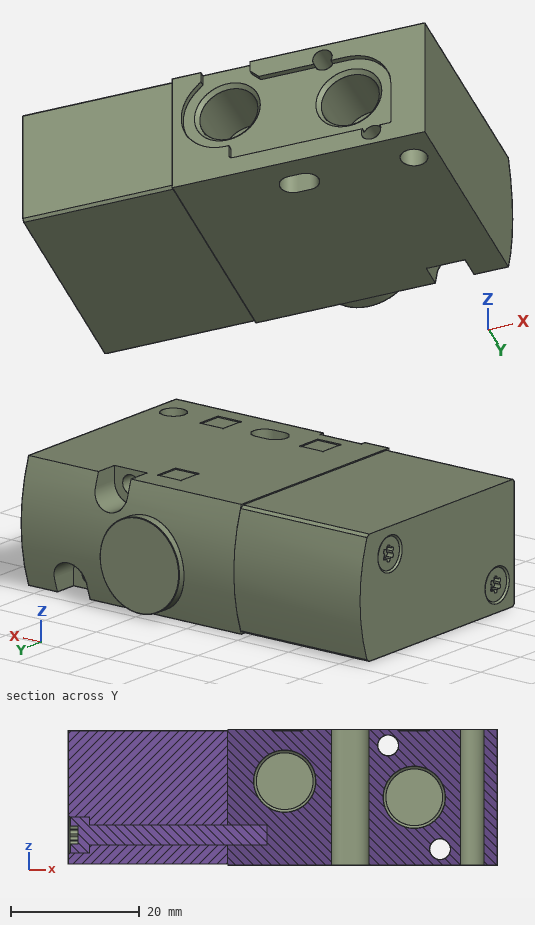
import cadquery as cq
import math

TOTAL_LENGTH = 66.6
HEIGHT = 21.1
COVER_LENGTH = 24.8
SIDE_WIDTH = 37.35
BACK_CREST = 39.25
BOSS_CREST = 40.4
MID_Z = HEIGHT / 2

COVER_INSET = 0.2
COVER_CHAMFER = 0.45

PORT_DIAMETER = 9.6
PORT_MOUTH_DIAMETER = 10.9
PORT_FLOOR_DIAMETER = 8.8
PORT_DEPTH = 12.0
EXHAUST_PORT = (33.6, 13.05)
SUPPLY_PORT = (53.7, MID_Z)

POCKET_DEPTH = 0.9
POCKET_RADIUS = 7.3
POCKET_FLOOR_Z = 3.25
POCKET_STEP_X = 34.2
POCKET_STEP_FILLET = 0.6
POCKET_CORNER_FILLET = 0.3
NOTCH_HALF_WIDTH = 4.05

CROSS_HOLE_DIAMETER = 3.2
HEAD_SLOT_DIAMETER = 6.4
HEAD_SEAT_Y = 33.3
UPPER_CROSS_HOLE = (49.65, 18.6)
LOWER_CROSS_HOLE = (57.7, HEIGHT - UPPER_CROSS_HOLE[1])

VERTICAL_HOLE_DIAMETER = 4.3
VERTICAL_HOLE_Y = 5.7
ROUND_HOLE_X = 62.7
OBLONG_HOLE_X = 43.75
OBLONG_HOLE_LENGTH = 6.4

LABEL_SIZE = 4.6
LABEL_DEPTH = 0.2
LABEL_CENTRES = [(34.1, 5.4), (53.7, 5.4), (42.2, 30.9)]

BOSS_DIAMETER = 15.6
BOSS_CHAMFER = 0.1
BOSS_CENTRE = (42.45, 8.5)

SCREW_CENTRES = [(31.65, 16.4), (4.55, HEIGHT - 16.4)]
SCREW_HEAD_DIAMETER = 5.5
SCREW_HEAD_HEIGHT = 3.0
SCREW_SHANK_DIAMETER = 3.0
SCREW_GRIP = 6.0
SCREW_RECESS_CHAMFER = 0.3
RECESS_TAPER = 45
SOCKET_DEPTH = 1.2
SOCKET_ROOT_DIAMETER = 2.0
SOCKET_TIP_DIAMETER = 2.75
SOCKET_LOBE_DIAMETER = 0.7
SOCKET_LOBES = 6


def bowed_block(x_start, length, inset):
    """Block along X with a bowed back; the inset moves in the front, top and bottom."""
    low = inset
    high = HEIGHT - inset
    return (
        cq.Workplane("YZ", origin=(x_start, 0, 0))
        .moveTo(inset, low)
        .lineTo(SIDE_WIDTH, low)
        .threePointArc((BACK_CREST, MID_Z), (SIDE_WIDTH, high))
        .lineTo(inset, high)
        .close()
        .extrude(length)
    )


def front_plane(y):
    """Workplane across Y, spanned by X and Z; negative extrusions run towards +Y."""
    return cq.Workplane("XZ", origin=(0, y, 0))


def cylinder_along_y(centre, diameter, y_start, y_end):
    return front_plane(y_start).center(*centre).circle(diameter / 2).extrude(y_start - y_end)


def cylinder_along_x(centre, diameter, x_start, x_end):
    return (
        cq.Workplane("YZ", origin=(x_start, 0, 0))
        .center(*centre)
        .circle(diameter / 2)
        .extrude(x_end - x_start)
    )


def port_cut(centre):
    """Blind port with a chamfered mouth and a chamfered floor, starting at the pocket floor."""
    mouth_radius = PORT_MOUTH_DIAMETER / 2
    bore_radius = PORT_DIAMETER / 2
    floor_radius = PORT_FLOOR_DIAMETER / 2
    bore_start = POCKET_DEPTH + mouth_radius - bore_radius
    bore_end = PORT_DEPTH - (bore_radius - floor_radius)
    profile = (
        cq.Workplane("XY")
        .moveTo(0, POCKET_DEPTH)
        .lineTo(mouth_radius, POCKET_DEPTH)
        .lineTo(bore_radius, bore_start)
        .lineTo(bore_radius, bore_end)
        .lineTo(floor_radius, PORT_DEPTH)
        .lineTo(0, PORT_DEPTH)
        .close()
    )
    port = profile.revolve(360, (0, 0, 0), (0, 1, 0))
    return port.translate((centre[0], 0, centre[1]))


def pocket_cut():
    """Shallow pocket round both ports, opening through a notch in the top face."""
    port_x, port_z = EXHAUST_PORT
    supply_x, supply_z = SUPPLY_PORT
    diagonal = POCKET_RADIUS * math.sqrt(0.5)
    notch_left = port_x - NOTCH_HALF_WIDTH
    notch_right = port_x + NOTCH_HALF_WIDTH
    flank_top = port_z + 2 * diagonal - NOTCH_HALF_WIDTH
    upper_edge = supply_z + POCKET_RADIUS
    flank_foot_x = notch_right + flank_top - upper_edge
    right_edge = supply_x + POCKET_RADIUS
    arc_bottom = port_z - POCKET_RADIUS
    pocket = (
        front_plane(0)
        .moveTo(notch_left, HEIGHT)
        .lineTo(notch_left, flank_top)
        .lineTo(port_x - diagonal, port_z + diagonal)
        .threePointArc((port_x - diagonal, port_z - diagonal), (port_x, arc_bottom))
        .lineTo(POCKET_STEP_X, arc_bottom)
        .lineTo(POCKET_STEP_X, POCKET_FLOOR_Z)
        .lineTo(right_edge, POCKET_FLOOR_Z)
        .lineTo(right_edge, supply_z)
        .threePointArc((supply_x + diagonal, supply_z + diagonal), (supply_x, upper_edge))
        .lineTo(flank_foot_x, upper_edge)
        .lineTo(notch_right, flank_top)
        .lineTo(notch_right, HEIGHT)
        .close()
        .extrude(-POCKET_DEPTH)
    )
    mid_depth = POCKET_DEPTH / 2
    step_foot = (POCKET_STEP_X, mid_depth, POCKET_FLOOR_Z)
    corner = (right_edge, mid_depth, POCKET_FLOOR_Z)
    pocket = pocket.edges(cq.selectors.NearestToPointSelector(step_foot)).fillet(POCKET_STEP_FILLET)
    return pocket.edges(cq.selectors.NearestToPointSelector(corner)).fillet(POCKET_CORNER_FILLET)


def cross_hole_cut(centre, open_side_z):
    """Through hole along Y, with a round-ended head slot that opens through the top or bottom."""
    hole = cylinder_along_y(centre, CROSS_HOLE_DIAMETER, 0, BOSS_CREST)
    seat = cylinder_along_y(centre, HEAD_SLOT_DIAMETER, HEAD_SEAT_Y, BOSS_CREST)
    hole_x, hole_z = centre
    opening = (
        front_plane(HEAD_SEAT_Y)
        .center(hole_x, (hole_z + open_side_z) / 2)
        .rect(HEAD_SLOT_DIAMETER, abs(open_side_z - hole_z))
        .extrude(HEAD_SEAT_Y - BOSS_CREST)
    )
    return hole.union(seat).union(opening)


def vertical_holes_cut():
    plane = cq.Workplane("XY")
    round_hole = (
        plane.center(ROUND_HOLE_X, VERTICAL_HOLE_Y).circle(VERTICAL_HOLE_DIAMETER / 2).extrude(HEIGHT)
    )
    oblong_hole = (
        plane.center(OBLONG_HOLE_X, VERTICAL_HOLE_Y)
        .slot2D(OBLONG_HOLE_LENGTH, VERTICAL_HOLE_DIAMETER)
        .extrude(HEIGHT)
    )
    return round_hole.union(oblong_hole)


def label_recesses_cut():
    return (
        cq.Workplane("XY", origin=(0, 0, HEIGHT))
        .pushPoints(LABEL_CENTRES)
        .rect(LABEL_SIZE, LABEL_SIZE)
        .extrude(-LABEL_DEPTH)
    )


def screw_blank(centre):
    """Cylindrical head and shank, also the shape of the hole that the screw fills."""
    head_end = SCREW_RECESS_CHAMFER + SCREW_HEAD_HEIGHT
    head = cylinder_along_x(centre, SCREW_HEAD_DIAMETER, SCREW_RECESS_CHAMFER, head_end)
    shank = cylinder_along_x(centre, SCREW_SHANK_DIAMETER, head_end, COVER_LENGTH + SCREW_GRIP)
    return head.union(shank)


def socket_cut(centre):
    """Drive socket with six rounded lobes, one of them pointing straight up."""
    socket_end = SCREW_RECESS_CHAMFER + SOCKET_DEPTH
    socket = cylinder_along_x(centre, SOCKET_ROOT_DIAMETER, SCREW_RECESS_CHAMFER, socket_end)
    lobe_offset = (SOCKET_TIP_DIAMETER - SOCKET_LOBE_DIAMETER) / 2
    for index in range(SOCKET_LOBES):
        angle = math.pi / 2 + 2 * math.pi * index / SOCKET_LOBES
        lobe_y = centre[0] + lobe_offset * math.cos(angle)
        lobe_z = centre[1] + lobe_offset * math.sin(angle)
        lobe = cylinder_along_x((lobe_y, lobe_z), SOCKET_LOBE_DIAMETER, SCREW_RECESS_CHAMFER, socket_end)
        socket = socket.union(lobe)
    return socket


def make_screw(centre):
    return screw_blank(centre).cut(socket_cut(centre))


def recess_mouth_cut(centre):
    """Chamfered mouth of a screw recess in the end face of the cover."""
    return (
        cq.Workplane("YZ")
        .center(*centre)
        .circle(SCREW_HEAD_DIAMETER / 2 + SCREW_RECESS_CHAMFER)
        .extrude(SCREW_RECESS_CHAMFER, taper=RECESS_TAPER)
    )


def make_cover():
    cover = bowed_block(0, COVER_LENGTH, COVER_INSET).edges("|X").chamfer(COVER_CHAMFER)
    for centre in SCREW_CENTRES:
        cover = cover.cut(recess_mouth_cut(centre)).cut(screw_blank(centre))
    return cover


def make_valve_body():
    body = bowed_block(COVER_LENGTH, TOTAL_LENGTH - COVER_LENGTH, 0)
    boss = cylinder_along_y(BOSS_CENTRE, BOSS_DIAMETER, HEAD_SEAT_Y, BOSS_CREST)
    body = body.union(boss.faces(">Y").chamfer(BOSS_CHAMFER))
    body = body.cut(pocket_cut())
    for centre in (EXHAUST_PORT, SUPPLY_PORT):
        body = body.cut(port_cut(centre))
    body = body.cut(cross_hole_cut(UPPER_CROSS_HOLE, HEIGHT))
    body = body.cut(cross_hole_cut(LOWER_CROSS_HOLE, 0))
    body = body.cut(vertical_holes_cut())
    body = body.cut(label_recesses_cut())
    for centre in SCREW_CENTRES:
        body = body.cut(screw_blank(centre))
    return body


cover = make_cover()
valve_body = make_valve_body()
screws = [make_screw(centre) for centre in SCREW_CENTRES]

result = cq.Compound.makeCompound([cover.val(), valve_body.val(), *[screw.val() for screw in screws]])